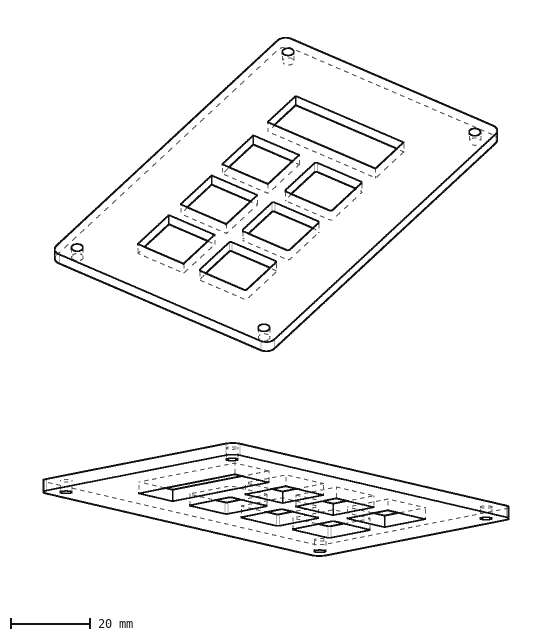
import cadquery as cq

plate_width = 66.3
plate_length = 103.8
plate_thickness = 3.0
corner_radius = 2.5

hole_diameter = 2.9
hole_inset = 4.8

display_width = 32.8
display_height = 12.6
display_center = (-0.5, 27.4)

key_height = 13.9
left_key_width = 13.9
right_key_width = 14.2
right_key_corner_radius = 0.5
top_left_key_x = -10.0
lower_left_key_x = -9.7
right_key_x = 9.1
key_row_pitch = 19.1
middle_key_y = -11.3
top_key_y = middle_key_y + key_row_pitch
bottom_key_y = middle_key_y - key_row_pitch


def make_plate():
    """Flat plate with rounded vertical corners."""
    plate = cq.Workplane("XY").box(plate_width, plate_length, plate_thickness)
    return plate.edges("|Z").fillet(corner_radius)


def window_cutter(center, width, height):
    """Rectangular block that passes through the plate."""
    return cq.Workplane("XY").box(width, height, 2 * plate_thickness).translate((*center, 0))


def right_key_cutter(center_y):
    """Right-column key window with slightly rounded corners."""
    cutter = window_cutter((right_key_x, center_y), right_key_width, key_height)
    return cutter.edges("|Z").fillet(right_key_corner_radius)


result = make_plate()

hole_spacing_x = plate_width - 2 * hole_inset
hole_spacing_y = plate_length - 2 * hole_inset
result = (
    result.faces(">Z").workplane()
    .rect(hole_spacing_x, hole_spacing_y, forConstruction=True)
    .vertices()
    .hole(hole_diameter)
)

result = result.cut(window_cutter(display_center, display_width, display_height))

key_rows = [
    (top_left_key_x, top_key_y),
    (lower_left_key_x, middle_key_y),
    (lower_left_key_x, bottom_key_y),
]
for left_key_x, key_y in key_rows:
    result = result.cut(window_cutter((left_key_x, key_y), left_key_width, key_height))
    result = result.cut(right_key_cutter(key_y))